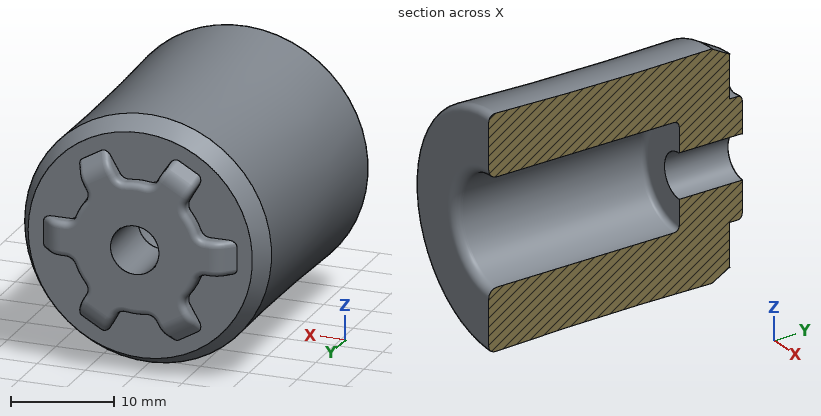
import cadquery as cq
import math

total_length = 29.5
front_y = -total_length / 2
back_y = total_length / 2

front_radius = 13.0
waist_radius = 12.7
shoulder_radius = 12.8
back_face_radius = 11.62
rim_round = 0.8
waist_distance = 17.7
shoulder_distance = 25.93

mouth_round = 1.0
bore_radius = 6.0
floor_round = 0.6
bore_depth = 22.12
hole_radius = 2.5

star_height = 1.48
arm_count = 6
arm_width = 3.55
arm_reach = 10.03
hub_radius = 6.75
valley_round = 1.03
slope_round = 2.0
edge_round = 0.6
overlap = 0.3

back_face_y = back_y - star_height
axis_start = (0, 0, 0)
axis_end = (0, 1, 0)
diagonal = math.sqrt(0.5)


def make_body():
    """Revolve the waisted shell."""
    rim_y = front_y + rim_round
    front_face_radius = front_radius - rim_round
    rim_middle = (
        front_face_radius + rim_round * diagonal,
        rim_y - rim_round * diagonal,
    )
    return (
        cq.Workplane("XY")
        .moveTo(0, front_y)
        .lineTo(front_face_radius, front_y)
        .threePointArc(rim_middle, (front_radius, rim_y))
        .threePointArc(
            (waist_radius, front_y + waist_distance),
            (shoulder_radius, front_y + shoulder_distance),
        )
        .lineTo(back_face_radius, back_face_y)
        .lineTo(0, back_face_y)
        .close()
        .revolve(360, axis_start, axis_end)
    )


def make_arm(index):
    """Make one arm with a sloping end, turned to its place around the Y axis."""
    base_y = back_face_y - overlap
    arm = (
        cq.Workplane("XY")
        .moveTo(0, base_y)
        .lineTo(arm_reach + overlap, base_y)
        .lineTo(arm_reach - star_height, back_y)
        .lineTo(0, back_y)
        .close()
        .extrude(arm_width / 2, both=True)
    )
    return arm.rotate(axis_start, axis_end, index * 360 / arm_count)


def make_star():
    """Join hub and arms, then round the valleys, the arm ends and the upper edges."""
    star = (
        cq.Workplane("XZ", origin=(0, back_face_y - overlap, 0))
        .circle(hub_radius)
        .extrude(-(star_height + overlap))
    )
    for index in range(arm_count):
        star = star.union(make_arm(index))
    star = star.edges("|Y").fillet(valley_round)

    arm_tip = arm_reach - star_height
    for index in range(arm_count):
        angle = math.radians(index * 360 / arm_count)
        tip = (arm_tip * math.cos(angle), back_y, arm_tip * math.sin(angle))
        star = star.edges(cq.selectors.NearestToPointSelector(tip)).fillet(slope_round)
    return star.faces(">Y").edges().fillet(edge_round)


def make_bore():
    """Revolve the empty space of the bore and the through hole."""
    mouth_end_y = front_y + mouth_round
    mouth_radius = bore_radius + mouth_round
    floor_y = front_y + bore_depth
    mouth_middle = (
        mouth_radius - mouth_round * diagonal,
        mouth_end_y - mouth_round * diagonal,
    )
    corner_y = floor_y - floor_round
    corner_middle = (
        bore_radius - floor_round + floor_round * diagonal,
        corner_y + floor_round * diagonal,
    )
    return (
        cq.Workplane("XY")
        .moveTo(0, front_y)
        .lineTo(mouth_radius, front_y)
        .threePointArc(mouth_middle, (bore_radius, mouth_end_y))
        .lineTo(bore_radius, corner_y)
        .threePointArc(corner_middle, (bore_radius - floor_round, floor_y))
        .lineTo(hole_radius, floor_y)
        .lineTo(hole_radius, back_y)
        .lineTo(0, back_y)
        .close()
        .revolve(360, axis_start, axis_end)
    )


result = make_body().union(make_star()).cut(make_bore())